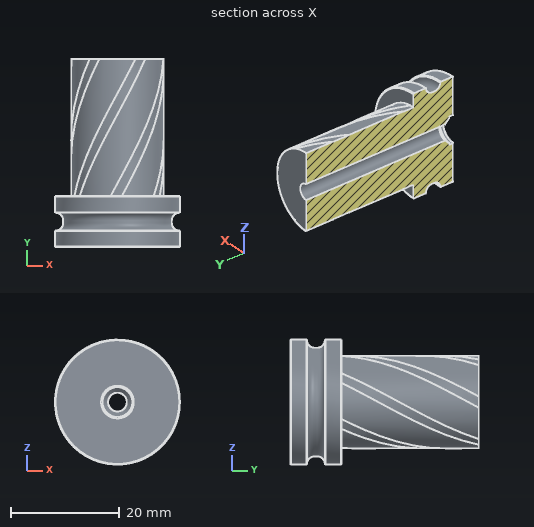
import cadquery as cq
import math

TOTAL_LENGTH = 34.92
SHANK_LENGTH = 25.4
HEAD_LENGTH = TOTAL_LENGTH - SHANK_LENGTH
FRONT_Y = -TOTAL_LENGTH / 2
SHOULDER_Y = FRONT_Y + HEAD_LENGTH
BACK_Y = FRONT_Y + TOTAL_LENGTH

HEAD_RADIUS = 23.2 / 2
CHAMFERED_RADIUS = 22.86 / 2
HEAD_CHAMFER = HEAD_RADIUS - CHAMFERED_RADIUS
SHANK_RADIUS = 17.2 / 2

RING_FLOOR_RADIUS = 20.2 / 2
RING_FLOOR_WIDTH = 0.58
RING_FILLET = CHAMFERED_RADIUS - RING_FLOOR_RADIUS

BORE_RADIUS = 3.43 / 2
COUNTERBORE_RADIUS = 6.1 / 2
COUNTERBORE_DEPTH = 0.9
COUNTERSINK_RADIUS = 5.5 / 2
COUNTERSINK_DEPTH = COUNTERSINK_RADIUS - BORE_RADIUS

FLUTE_COUNT = 6
FLUTE_DEPTH = 0.05
FLUTE_ARC = 14.0
FLUTE_SPACING = 360 / FLUTE_COUNT
FLUTE_PITCH = 100.0
FLUTE_TWIST = 360 * SHANK_LENGTH / FLUTE_PITCH
CUT_MARGIN = 1.0


def revolved_body():
    """Head with chamfered rims and a ring groove, plus the plain shank."""
    ring_middle = FRONT_Y + HEAD_LENGTH / 2
    floor_half = RING_FLOOR_WIDTH / 2
    wall_half = floor_half + RING_FILLET
    land_half = wall_half + HEAD_CHAMFER
    arc_offset = RING_FILLET * (1 - math.sqrt(0.5))
    arc_radius = RING_FLOOR_RADIUS + arc_offset
    arc_half = wall_half - arc_offset
    return (
        cq.Workplane("XY")
        .moveTo(0, FRONT_Y)
        .lineTo(CHAMFERED_RADIUS, FRONT_Y)
        .lineTo(HEAD_RADIUS, FRONT_Y + HEAD_CHAMFER)
        .lineTo(HEAD_RADIUS, ring_middle - land_half)
        .lineTo(CHAMFERED_RADIUS, ring_middle - wall_half)
        .threePointArc((arc_radius, ring_middle - arc_half), (RING_FLOOR_RADIUS, ring_middle - floor_half))
        .lineTo(RING_FLOOR_RADIUS, ring_middle + floor_half)
        .threePointArc((arc_radius, ring_middle + arc_half), (CHAMFERED_RADIUS, ring_middle + wall_half))
        .lineTo(HEAD_RADIUS, ring_middle + land_half)
        .lineTo(HEAD_RADIUS, SHOULDER_Y - HEAD_CHAMFER)
        .lineTo(CHAMFERED_RADIUS, SHOULDER_Y)
        .lineTo(SHANK_RADIUS, SHOULDER_Y)
        .lineTo(SHANK_RADIUS, BACK_Y)
        .lineTo(0, BACK_Y)
        .close()
        .revolve(360, (0, 0, 0), (0, 1, 0))
    )


def stepped_bore():
    """Cutter for the through hole, its countersink and its counterbore."""
    counterbore_floor = FRONT_Y + COUNTERBORE_DEPTH
    return (
        cq.Workplane("XY")
        .moveTo(0, FRONT_Y)
        .lineTo(COUNTERBORE_RADIUS, FRONT_Y)
        .lineTo(COUNTERBORE_RADIUS, counterbore_floor)
        .lineTo(COUNTERSINK_RADIUS, counterbore_floor)
        .lineTo(BORE_RADIUS, counterbore_floor + COUNTERSINK_DEPTH)
        .lineTo(BORE_RADIUS, BACK_Y)
        .lineTo(0, BACK_Y)
        .close()
        .revolve(360, (0, 0, 0), (0, 1, 0))
    )


def polar(radius, degrees):
    """Point in a plane square to the axis; zero degrees points along +X."""
    angle = math.radians(degrees)
    return (radius * math.cos(angle), radius * math.sin(angle))


def flute(middle_angle):
    """Cutter for one flute, twisted from the back end to the shoulder."""
    inner = SHANK_RADIUS - FLUTE_DEPTH
    outer = SHANK_RADIUS + CUT_MARGIN
    start = middle_angle - FLUTE_ARC / 2
    end = middle_angle + FLUTE_ARC / 2
    return (
        cq.Workplane("XZ", origin=(0, BACK_Y, 0))
        .moveTo(*polar(inner, start))
        .threePointArc(polar(inner, middle_angle), polar(inner, end))
        .lineTo(*polar(outer, end))
        .threePointArc(polar(outer, middle_angle), polar(outer, start))
        .close()
        .twistExtrude(SHANK_LENGTH, FLUTE_TWIST)
    )


result = revolved_body().cut(stepped_bore())
for index in range(FLUTE_COUNT):
    result = result.cut(flute(index * FLUTE_SPACING))